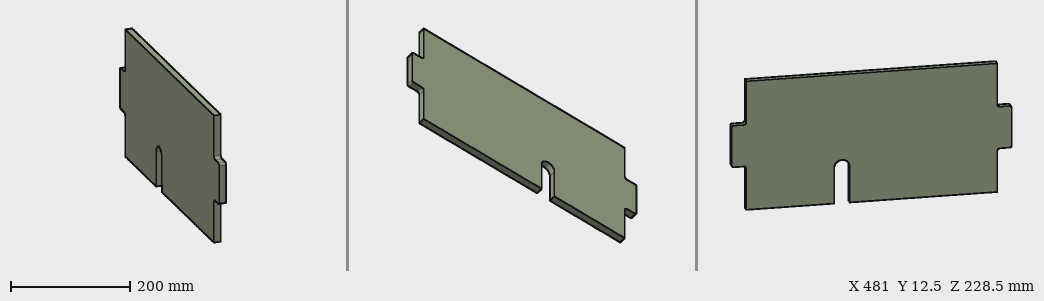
import cadquery as cq

overall_length = 481.0
height = 228.5
thickness = 12.5

tab_length = 25.0
tab_height = 74.0
tab_corner_radius = 4.0
tab_root_radius = 5.0

slot_width = 27.0
slot_depth = 76.5
slot_center_x = -51.0

body_length = overall_length - 2 * tab_length


def make_tabbed_plate():
    """Body and end tabs, with rounded tab corners and filleted tab roots."""
    body = cq.Workplane("XY").box(body_length, thickness, height)
    tab_bar = cq.Workplane("XY").box(overall_length, thickness, tab_height)
    tab_bar = tab_bar.edges("|Y").fillet(tab_corner_radius)
    plate = body.union(tab_bar)
    root_points = [
        (side * body_length / 2, 0, level * tab_height / 2)
        for side in (-1, 1)
        for level in (-1, 1)
    ]
    for point in root_points:
        root_edge = plate.edges("|Y").edges(cq.selectors.NearestToPointSelector(point))
        plate = root_edge.fillet(tab_root_radius)
    return plate


def make_slot_cutter():
    """Slot volume: straight sides up to a semicircular top."""
    radius = slot_width / 2
    left = slot_center_x - radius
    right = slot_center_x + radius
    bottom = -height / 2
    top = bottom + slot_depth
    arc_start = top - radius
    return (
        cq.Workplane("XZ")
        .moveTo(left, bottom)
        .lineTo(left, arc_start)
        .threePointArc((slot_center_x, top), (right, arc_start))
        .lineTo(right, bottom)
        .close()
        .extrude(thickness / 2, both=True)
    )


result = make_tabbed_plate().cut(make_slot_cutter())